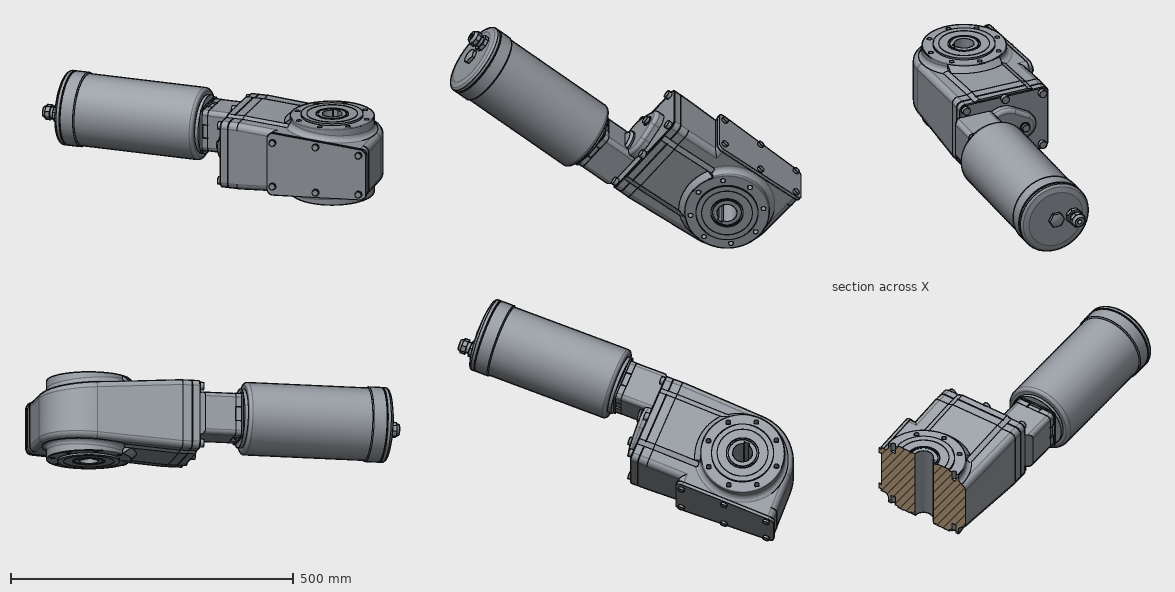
import cadquery as cq
import math


HOUSING_LEFT = -183.0
CASE_LEFT = -151.0
HOUSING_RIGHT = 92.9
LEFT_HALF_WIDTH = 62.0
RIGHT_HALF_WIDTH = 45.7
LOWER_SIDE = -78.8
UPPER_DRAFT = 1.5
RIGHT_DRAFT = 1.9
CORNER_RADIUS = 90.2
EDGE_ROUND = 11.0
FRONT_JOINT = -168.8
JOINT_WIDTH = 1.0
JOINT_DEPTH = 0.5
PLATE_EDGE = 1.5
CASE_STEP = 0.2

CROWN_HEIGHT = 3.5
CROWN_UPPER = 65.5
CROWN_LOWER = -49.0
CROWN_SLOPE = 9.5

FOOT_LEFT = -89.8
FOOT_BOTTOM = -90.8
COVER_THICKNESS = 6.0
COVER_OVERHANG = 2.5
COVER_MARGIN = 0.8

HUB_DIAMETER = 150.0
HUB_HALF_WIDTH = 71.5
HUB_FLARE = 10.0
HUB_EDGE = 1.0
CROWN_FLARE = 11.0
FLARE_LIMIT_RADIUS = 86.0
FLARE_LIMIT_X = -4.0
FLARE_LIMIT_Y = -4.0
REGISTER_DIAMETER = 110.0
REGISTER_HALF_WIDTH = 75.0
RECESS_DIAMETER = 90.0
RECESS_DEPTH = 0.5
GROOVE_OUTER = 57.5
GROOVE_INNER = 51.0
GROOVE_DEPTH = 2.0
BORE_DIAMETER = 35.0
KEYWAY_WIDTH = 10.0
KEYWAY_REACH = 20.8
BOLT_CIRCLE = 130.0
BOLT_COUNT = 8
BOLT_HOLE_DIAMETER = 8.38
BOLT_HOLE_DEPTH = 18.0

COVER_SCREW_DIAMETER = 11.6
COVER_SCREW_BOTTOM = -95.4
COVER_SCREWS = ((-79.3, 41.0), (1.8, 42.6), (82.3, 36.6))
FRONT_SCREW_DIAMETER = 14.0
FRONT_SCREW_HEIGHT = 7.0
FRONT_SCREWS = ((84.0, 51.7), (7.5, 57.0), (-65.7, 51.7))

MOTOR_Y = 67.8
END_CAP_DIAMETER = 133.0
END_CAP_FACE_DIAMETER = 105.0
END_CAP_LEFT = -526.0
END_CAP_RIGHT = -486.5
END_CAP_BEVEL_DIAMETER = 125.0
END_CAP_BEVEL_LENGTH = 2.5
END_CAP_ROUND_LENGTH = 6.5
CAP_GROOVE_LEFT = -514.0
CAP_GROOVE_WIDTH = 2.0
CAP_GROOVE_DEPTH = 0.6
END_CAP_REAR_EDGE = 2.0
TUBE_DIAMETER = 129.0
TUBE_RIGHT = -264.0
TUBE_ROUND = 6.0
COLLAR_DIAMETER = 105.0
COLLAR_RIGHT = -257.8

NECK_SIZE = 76.0
NECK_ROUND = 8.0
NECK_RIGHT = HOUSING_LEFT + PLATE_EDGE
NECK_END_LENGTH = 8.0
NECK_END_DROP = 12.0
NECK_FOOT_SIZE = 81.0
NECK_FOOT_LENGTH = 3.0
NECK_BASE_SIZE = 76.6
NOTCH_WIDTH = 25.0
NOTCH_RIGHT = -244.5
NOTCH_DEPTH = 3.0

PLUG_SIDES = 6
PLUG_ACROSS_FLATS = 25.0
PLUG_LEFT = -534.0
PLUG_DOME_RADIUS = 34.0
CONNECTOR_Y = 34.0
CONNECTOR_LEFT = -553.6
CONNECTOR_TIP_DIAMETER = 18.0
CONNECTOR_DIAMETER = 25.0
CONNECTOR_NUT_LEFT = -548.0
CONNECTOR_NUT_RIGHT = -539.5
CONNECTOR_STEM_DIAMETER = 20.0
CONNECTOR_BASE_LEFT = -533.0
CONNECTOR_BASE_SIZE = 27.0
CONNECTOR_HOLE_DIAMETER = 8.0
CONNECTOR_HOLE_DEPTH = 10.0
NUT_SIDES = 8

ADAPTER_LEFT = -200.0
ADAPTER_ROUND = 7.0
ADAPTER_BIG_Y = 11.5
ADAPTER_BIG_RADIUS = 42.0
ADAPTER_TIP_Y = -24.7
ADAPTER_TIP_RADIUS = 24.5
ADAPTER_BOSS_LEFT = -208.0
ADAPTER_BOSS_Y = 38.0
ADAPTER_BOSS_RADIUS = 27.0
ADAPTER_BOSS_EDGE = 5.0
DRAIN_PLUG_DIAMETER = 14.0
DRAIN_PLUG_LEFT = -206.5
DRAIN_RIM_DIAMETER = 18.5
DRAIN_RIM_LEFT = -201.0

SIDES = (1, -1)


def x_cylinder(left, right, y, diameter):
    """Cylinder along X in the plane Z = 0, from left to right."""
    return cq.Workplane("YZ", origin=(left, y, 0)).circle(diameter / 2).extrude(right - left)


def taper_half_width(x):
    """Half width in Z of the tapered case at x."""
    slope = (LEFT_HALF_WIDTH - RIGHT_HALF_WIDTH) / (HOUSING_RIGHT - CASE_LEFT)
    return LEFT_HALF_WIDTH - slope * (x - CASE_LEFT)


def wedge(bottom, top, left, right, growth=0.0):
    """Slab between two Y levels that tapers in Z; growth widens it on both sides."""
    wide = taper_half_width(left) + growth
    narrow = taper_half_width(right) + growth
    corners = [(left, -wide), (right, -narrow), (right, narrow), (left, wide)]
    return cq.Workplane("XZ", origin=(0, top, 0)).polyline(corners).close().extrude(top - bottom)


def on_round_end(angle):
    """Point of the round housing end at an angle in degrees from +X."""
    turn = math.radians(angle)
    return CORNER_RADIUS * math.cos(turn), CORNER_RADIUS * math.sin(turn)


def upper_side(x):
    """Y of the drafted upper side at x; the side is tangent to the round end."""
    tangent_x, tangent_y = on_round_end(90 - UPPER_DRAFT)
    return tangent_y + (tangent_x - x) * math.tan(math.radians(UPPER_DRAFT))


def case():
    """Tapered case with a round end about the bore and rounded long edges."""
    tangent_x, tangent_y = on_round_end(RIGHT_DRAFT)
    lower_right = tangent_x + (tangent_y - LOWER_SIDE) * math.tan(math.radians(RIGHT_DRAFT))
    outline = (
        cq.Workplane("XY", origin=(0, 0, -HUB_HALF_WIDTH))
        .moveTo(CASE_LEFT, LOWER_SIDE)
        .lineTo(lower_right, LOWER_SIDE)
        .lineTo(tangent_x, tangent_y)
        .threePointArc(on_round_end(45), on_round_end(90 - UPPER_DRAFT))
        .lineTo(CASE_LEFT, upper_side(CASE_LEFT))
        .close()
        .extrude(2 * HUB_HALF_WIDTH)
    )
    taper = wedge(LOWER_SIDE, upper_side(CASE_LEFT), CASE_LEFT, HOUSING_RIGHT)
    body = outline.intersect(taper)
    return body.edges("not (|Z or <X)").fillet(EDGE_ROUND)


def front_plate():
    """Straight-sided end of the housing that carries the adapter, with a seam around it."""
    upper = upper_side(CASE_LEFT) - CASE_STEP
    half_width = LEFT_HALF_WIDTH - CASE_STEP

    def block(left, right, inset):
        return (
            cq.Workplane("YZ", origin=(left, (LOWER_SIDE + upper) / 2, 0))
            .rect(upper - LOWER_SIDE - 2 * inset, 2 * (half_width - inset))
            .extrude(right - left)
            .edges("|X")
            .fillet(EDGE_ROUND - inset)
        )

    plate = block(HOUSING_LEFT, FRONT_JOINT, 0).faces("<X").edges().chamfer(PLATE_EDGE)
    core = block(FRONT_JOINT, FRONT_JOINT + JOINT_WIDTH, JOINT_DEPTH)
    return plate.union(core).union(block(FRONT_JOINT + JOINT_WIDTH, CASE_LEFT, 0))


def crown_section(half_width):
    """Corners of the crown cross-section, running through to both sides."""
    top = half_width + CROWN_HEIGHT
    upper_half = [
        (CROWN_LOWER, half_width),
        (CROWN_LOWER + CROWN_SLOPE, top),
        (CROWN_UPPER - CROWN_SLOPE, top),
        (CROWN_UPPER, half_width),
    ]
    return upper_half + [(y, -z) for y, z in reversed(upper_half)]


def crown():
    """Raised panel on both wide sides, with sloping flanks, ending inside the hub."""
    left = HOUSING_LEFT + PLATE_EDGE
    straight = cq.Workplane("YZ", origin=(left, 0, 0)).polyline(
        crown_section(LEFT_HALF_WIDTH - CASE_STEP)
    )
    tapered = (
        cq.Workplane("YZ", origin=(CASE_LEFT, 0, 0))
        .polyline(crown_section(LEFT_HALF_WIDTH))
        .close()
        .workplane(offset=-CASE_LEFT)
        .polyline(crown_section(taper_half_width(0)))
        .close()
        .loft(ruled=True)
    )
    body = straight.close().extrude(CASE_LEFT - left).union(tapered)
    top = LEFT_HALF_WIDTH - CASE_STEP + CROWN_HEIGHT
    for side in SIDES:
        seam = cq.Workplane("XY").box(JOINT_WIDTH, CROWN_UPPER - CROWN_LOWER, 2 * JOINT_DEPTH)
        middle = (CROWN_UPPER + CROWN_LOWER) / 2
        body = body.cut(seam.translate((FRONT_JOINT + JOINT_WIDTH / 2, middle, side * top)))
    return body


def foot():
    """Foot under the round end and the cover that closes it."""
    block = wedge(FOOT_BOTTOM, LOWER_SIDE + EDGE_ROUND, FOOT_LEFT, HOUSING_RIGHT)
    block = block.edges("|Y").fillet(EDGE_ROUND)
    cover = wedge(
        FOOT_BOTTOM,
        FOOT_BOTTOM + COVER_THICKNESS,
        FOOT_LEFT - COVER_MARGIN,
        HOUSING_RIGHT + COVER_OVERHANG,
        COVER_MARGIN,
    )
    return block.union(cover.edges("|Y").fillet(EDGE_ROUND))


def hub():
    """Output hub on both sides with a flared root and stepped faces."""
    body = cq.Workplane("XY").circle(HUB_DIAMETER / 2).extrude(HUB_HALF_WIDTH, both=True)
    reach = HUB_DIAMETER / 2 + 2 * HUB_FLARE
    slab = wedge(-reach, reach, -reach, reach)
    body = body.union(slab)
    inner = (HUB_DIAMETER / 2, HUB_DIAMETER / 2, HUB_HALF_WIDTH - HUB_EDGE)
    root = cq.selectors.BoxSelector(tuple(-size for size in inner), inner)
    body = body.edges("not |Z").edges(root).fillet(HUB_FLARE)
    limit = (
        cq.Workplane("XY", origin=(FLARE_LIMIT_X, FLARE_LIMIT_Y, 0))
        .circle(FLARE_LIMIT_RADIUS)
        .extrude(HUB_HALF_WIDTH, both=True)
    )
    body = body.intersect(limit).faces("<Z or >Z").edges().fillet(HUB_EDGE)
    register = cq.Workplane("XY").circle(REGISTER_DIAMETER / 2)
    return body.union(register.extrude(REGISTER_HALF_WIDTH, both=True))


def crown_flare():
    """Sloping flare that carries the hub onto the crown."""
    radius = HUB_DIAMETER / 2
    top = HUB_HALF_WIDTH - HUB_EDGE
    flare = (
        cq.Workplane("XZ")
        .moveTo(0, -top)
        .lineTo(radius, -top)
        .lineTo(radius + CROWN_FLARE, CROWN_FLARE - top)
        .lineTo(radius + CROWN_FLARE, top - CROWN_FLARE)
        .lineTo(radius, top)
        .lineTo(0, top)
        .close()
        .revolve(360, (0, 0, 0), (0, 1, 0))
    )
    lower = CROWN_LOWER + CROWN_SLOPE
    upper = CROWN_UPPER - CROWN_SLOPE
    reach = radius + CROWN_FLARE
    band = (
        cq.Workplane("XY")
        .center(-reach / 2, (lower + upper) / 2)
        .rect(reach, upper - lower)
        .extrude(HUB_HALF_WIDTH, both=True)
    )
    return flare.intersect(band)


def hub_cuts():
    """Keyed through bore, and on both faces a recess, a seal groove and bolt holes."""
    cuts = cq.Workplane("XY").circle(BORE_DIAMETER / 2).extrude(REGISTER_HALF_WIDTH, both=True)
    keyway = (
        cq.Workplane("XY")
        .center(0, KEYWAY_REACH / 2)
        .rect(KEYWAY_WIDTH, KEYWAY_REACH)
        .extrude(REGISTER_HALF_WIDTH, both=True)
    )
    cuts = cuts.union(keyway)
    floor = REGISTER_HALF_WIDTH - RECESS_DEPTH
    for side in SIDES:
        recess = cq.Workplane("XY", origin=(0, 0, side * floor)).circle(RECESS_DIAMETER / 2)
        groove = (
            cq.Workplane("XY", origin=(0, 0, side * floor))
            .circle(GROOVE_OUTER / 2)
            .circle(GROOVE_INNER / 2)
        )
        holes = (
            cq.Workplane("XY", origin=(0, 0, side * HUB_HALF_WIDTH))
            .polarArray(BOLT_CIRCLE / 2, 0, 360, BOLT_COUNT)
            .circle(BOLT_HOLE_DIAMETER / 2)
        )
        cuts = cuts.union(recess.extrude(side * RECESS_DEPTH))
        cuts = cuts.union(groove.extrude(-side * GROOVE_DEPTH))
        cuts = cuts.union(holes.extrude(-side * BOLT_HOLE_DEPTH))
    return cuts


def cover_screws():
    """Screw heads under the foot cover."""
    height = FOOT_BOTTOM + COVER_THICKNESS - COVER_SCREW_BOTTOM
    points = [(x, side * z) for x, z in COVER_SCREWS for side in SIDES]
    heads = cq.Workplane("XZ", origin=(0, COVER_SCREW_BOTTOM, 0)).pushPoints(points)
    return heads.circle(COVER_SCREW_DIAMETER / 2).extrude(-height)


def front_screws():
    """Screw heads on the front plate."""
    points = [(y, side * z) for y, z in FRONT_SCREWS for side in SIDES]
    heads = cq.Workplane("YZ", origin=(HOUSING_LEFT - FRONT_SCREW_HEIGHT, 0, 0)).pushPoints(points)
    return heads.circle(FRONT_SCREW_DIAMETER / 2).extrude(2 * FRONT_SCREW_HEIGHT)


def adapter():
    """Drop-shaped plate on the front plate, with a boss under the neck and a plug."""
    span = ADAPTER_BIG_Y - ADAPTER_TIP_Y
    lean = (ADAPTER_BIG_RADIUS - ADAPTER_TIP_RADIUS) / span
    rise = math.sqrt(1 - lean**2)
    big_y = ADAPTER_BIG_Y - ADAPTER_BIG_RADIUS * lean
    big_z = ADAPTER_BIG_RADIUS * rise
    tip_y = ADAPTER_TIP_Y - ADAPTER_TIP_RADIUS * lean
    tip_z = ADAPTER_TIP_RADIUS * rise
    plate = (
        cq.Workplane("YZ", origin=(ADAPTER_LEFT, 0, 0))
        .moveTo(tip_y, -tip_z)
        .threePointArc((ADAPTER_TIP_Y - ADAPTER_TIP_RADIUS, 0), (tip_y, tip_z))
        .lineTo(big_y, big_z)
        .threePointArc((ADAPTER_BIG_Y + ADAPTER_BIG_RADIUS, 0), (big_y, -big_z))
        .close()
        .extrude(HOUSING_LEFT + PLATE_EDGE - ADAPTER_LEFT)
    )
    plate = plate.faces("<X").edges().fillet(ADAPTER_ROUND)
    boss = x_cylinder(ADAPTER_BOSS_LEFT, HOUSING_LEFT, ADAPTER_BOSS_Y, 2 * ADAPTER_BOSS_RADIUS)
    boss = boss.faces("<X").edges().chamfer(ADAPTER_BOSS_EDGE)
    rim = x_cylinder(DRAIN_RIM_LEFT, HOUSING_LEFT, ADAPTER_TIP_Y, DRAIN_RIM_DIAMETER)
    plug = x_cylinder(DRAIN_PLUG_LEFT, HOUSING_LEFT, ADAPTER_TIP_Y, DRAIN_PLUG_DIAMETER)
    return plate.union(boss).union(rim).union(plug)


def motor():
    """End cap, tube and collar, turned about the motor axis."""
    cap = END_CAP_DIAMETER / 2
    face = END_CAP_FACE_DIAMETER / 2
    tube = TUBE_DIAMETER / 2
    collar = COLLAR_DIAMETER / 2
    bevel = END_CAP_BEVEL_DIAMETER / 2
    groove = cap - CAP_GROOVE_DEPTH
    groove_right = CAP_GROOVE_LEFT + CAP_GROOVE_WIDTH
    profile = (
        cq.Workplane("XY", origin=(0, MOTOR_Y, 0))
        .moveTo(END_CAP_LEFT, 0)
        .lineTo(END_CAP_LEFT, face)
        .lineTo(END_CAP_LEFT + END_CAP_BEVEL_LENGTH, bevel)
        .radiusArc((END_CAP_LEFT + END_CAP_ROUND_LENGTH, cap), END_CAP_ROUND_LENGTH)
        .lineTo(CAP_GROOVE_LEFT, cap)
        .lineTo(CAP_GROOVE_LEFT, groove)
        .lineTo(groove_right, groove)
        .lineTo(groove_right, cap)
        .lineTo(END_CAP_RIGHT - END_CAP_REAR_EDGE, cap)
        .lineTo(END_CAP_RIGHT, tube)
        .lineTo(TUBE_RIGHT - TUBE_ROUND, tube)
        .radiusArc((TUBE_RIGHT, tube - TUBE_ROUND), TUBE_ROUND)
        .lineTo(TUBE_RIGHT, collar)
        .lineTo(COLLAR_RIGHT, collar)
        .lineTo(COLLAR_RIGHT, 0)
        .close()
    )
    return profile.revolve(360, (0, 0, 0), (1, 0, 0))


def neck_block(left, right, size):
    """Square bar about the motor axis with rounded long edges."""
    bar = cq.Workplane("YZ", origin=(left, MOTOR_Y, 0)).rect(size, size)
    return bar.extrude(right - left).edges("|X").fillet(NECK_ROUND)


def neck():
    """Square neck with a wider foot at the collar and a notch in each side."""
    half = NECK_SIZE / 2
    base_half = NECK_BASE_SIZE / 2
    body = neck_block(NOTCH_RIGHT, NECK_RIGHT, NECK_SIZE)
    body = body.union(neck_block(COLLAR_RIGHT, NOTCH_RIGHT, NECK_BASE_SIZE))
    foot_right = COLLAR_RIGHT + NECK_FOOT_LENGTH
    body = body.union(neck_block(COLLAR_RIGHT, foot_right, NECK_FOOT_SIZE))
    top = MOTOR_Y + half
    slope = (
        cq.Workplane("XY", origin=(0, 0, -half))
        .moveTo(NECK_RIGHT - NECK_END_LENGTH, top)
        .lineTo(NECK_RIGHT, top)
        .lineTo(NECK_RIGHT, top - NECK_END_DROP)
        .close()
        .extrude(NECK_SIZE)
    )
    body = body.cut(slope)
    length = NOTCH_RIGHT - foot_right
    for turn in range(4):
        notch = (
            cq.Workplane("XY")
            .box(length, NOTCH_DEPTH, NOTCH_WIDTH)
            .translate((foot_right + length / 2, base_half - NOTCH_DEPTH / 2, 0))
            .rotate((0, 0, 0), (1, 0, 0), 90 * turn)
            .translate((0, MOTOR_Y, 0))
        )
        body = body.cut(notch)
    return body


def end_cap_plug():
    """Domed hexagon plug on the motor axis."""
    across_corners = PLUG_ACROSS_FLATS / math.cos(math.pi / PLUG_SIDES)
    length = END_CAP_LEFT - PLUG_LEFT
    hexagon = (
        cq.Workplane("YZ", origin=(PLUG_LEFT, MOTOR_Y, 0))
        .polygon(PLUG_SIDES, across_corners)
        .extrude(length)
    )
    dome = cq.Workplane("XY").sphere(PLUG_DOME_RADIUS)
    return hexagon.intersect(dome.translate((PLUG_LEFT + PLUG_DOME_RADIUS, MOTOR_Y, 0)))


def octagon(left, right, across_flats):
    """Eight-sided nut of the connector between two X planes."""
    across_corners = across_flats / math.cos(math.pi / NUT_SIDES)
    return (
        cq.Workplane("YZ", origin=(left, CONNECTOR_Y, 0))
        .transformed(rotate=(0, 0, 180 / NUT_SIDES))
        .polygon(NUT_SIDES, across_corners)
        .extrude(right - left)
    )


def connector():
    """Cable connector on the end cap: base nut, stem, clamping nut and open tip."""
    base = octagon(CONNECTOR_BASE_LEFT, END_CAP_LEFT, CONNECTOR_BASE_SIZE)
    stem = x_cylinder(
        CONNECTOR_NUT_RIGHT, CONNECTOR_BASE_LEFT, CONNECTOR_Y, CONNECTOR_STEM_DIAMETER
    )
    nut = octagon(CONNECTOR_NUT_LEFT, CONNECTOR_NUT_RIGHT, CONNECTOR_DIAMETER)
    tip = (
        cq.Workplane("YZ", origin=(CONNECTOR_LEFT, CONNECTOR_Y, 0))
        .circle(CONNECTOR_TIP_DIAMETER / 2)
        .workplane(offset=CONNECTOR_NUT_LEFT - CONNECTOR_LEFT)
        .circle(CONNECTOR_DIAMETER / 2)
        .loft()
    )
    hole = x_cylinder(
        CONNECTOR_LEFT,
        CONNECTOR_LEFT + CONNECTOR_HOLE_DEPTH,
        CONNECTOR_Y,
        CONNECTOR_HOLE_DIAMETER,
    )
    return base.union(stem).union(nut).union(tip).cut(hole)


housing = case().union(front_plate()).union(crown()).union(foot())
housing = housing.union(hub()).union(crown_flare()).cut(hub_cuts())
housing = housing.union(cover_screws()).union(front_screws()).union(adapter())
drive = motor().union(neck()).union(end_cap_plug()).union(connector())
result = housing.union(drive)